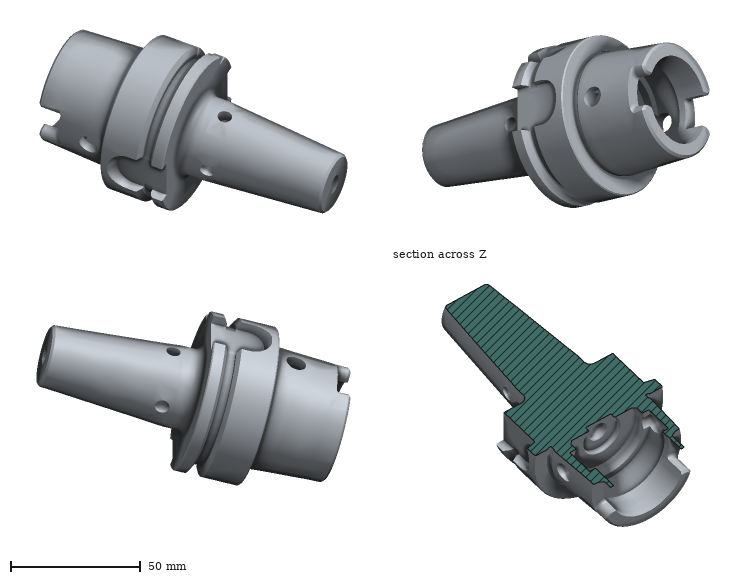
import cadquery as cq
import math

TOTAL_LENGTH = 117.0

TAPER_FRONT_RADIUS = 22.7
TAPER_BACK_RADIUS = 24.2
TAPER_END = 30.0
RELIEF_START = 30.7
RELIEF_RADIUS = 23.8
FACE_UNDERCUT_RADIUS = 25.2
FACE_UNDERCUT_DEPTH = 0.5
RIM_CHAMFER = 0.9
RIM_CHAMFER_ANGLE = 45.0

FLANGE_RADIUS = 31.5
FLANGE_START = 31.8
FLANGE_END = 57.9
FLANGE_CHAMFER = 0.5
GROOVE_RADIUS = 27.3
GROOVE_START = 48.1
GROOVE_END = 51.8
GROOVE_FLANK_WIDTH = 1.4
GROOVE_FLANK_ANGLE = 60.0
GROOVE_FLANK_HEIGHT = GROOVE_FLANK_WIDTH * math.tan(math.radians(GROOVE_FLANK_ANGLE))

NECK_RADIUS = 16.0
NECK_FILLET = 2.9
NOSE_START = 65.9
NOSE_TIP_RADIUS = 12.2
NOSE_CHAMFER = 0.9

SOCKET_RADIUS = 17.3
CLAMP_CHAMBER_START = 12.9
CLAMP_CHAMBER_RADIUS = 20.0
CLAMP_CHAMBER_END = 25.3
INNER_SOCKET_RADIUS = 17.1
INNER_SOCKET_DEPTH = 30.0
INNER_SOCKET_CHAMFER = 1.3
COUNTERBORE_RADIUS = 8.7
COUNTERBORE_DEPTH = 2.3
COUNTERBORE_CHAMFER = 0.4
BORE_RADIUS = 3.7
BORE_MOUTH_CHAMFER = 0.5

KEYWAY_HALF_WIDTH = 6.2
KEYWAY_FLAT_Y = 20.8
KEYWAY_LIP_RADIUS = 3.2
KEYWAY_FLOOR_FILLET = 1.4
KEYWAY_DEPTH_NEAR = 10.0
KEYWAY_DEPTH_FAR = 6.1

CROSS_HOLE_X = 22.9
CROSS_HOLE_RADIUS = 4.0

SLOT_HALF_WIDTH = 9.0
SLOT_FLOOR_Y = 26.3
SLOT_END_X = 34.9
SLOT_END_FLAT = 1.9
SLOT_END_SLOPE = 1.9

NOTCH_WALL_Y = 19.8
NOTCH_FLOOR_Z = 20.0
NOTCH_START = 44.7
NOTCH_CORNER_RADIUS = 7.5

SCREW_HOLE_X = 69.8
SCREW_HOLE_RADIUS = 2.8
SCREW_HOLE_FLOOR = 10.5
SCREW_HOLE_COUNT = 4
DRILL_TIP_HALF_ANGLE = 59.0
DRILL_TIP_HEIGHT = SCREW_HOLE_RADIUS / math.tan(math.radians(DRILL_TIP_HALF_ANGLE))


def revolve_about_x(profile):
    return profile.close().revolve(360, (0, 0, 0), (1, 0, 0))


def turned_body():
    """Outer shape: taper, grooved flange and tapered nose."""
    flank_radius = FLANGE_RADIUS - GROOVE_FLANK_HEIGHT
    undercut_x = FLANGE_START + FACE_UNDERCUT_DEPTH
    fillet_drop = NECK_FILLET * (1 - math.sqrt(0.5))
    profile = (
        cq.Workplane("XY")
        .moveTo(0, 0)
        .lineTo(0, TAPER_FRONT_RADIUS - RIM_CHAMFER)
        .lineTo(RIM_CHAMFER, TAPER_FRONT_RADIUS)
        .lineTo(TAPER_END, TAPER_BACK_RADIUS)
        .lineTo(RELIEF_START, RELIEF_RADIUS)
        .lineTo(undercut_x, RELIEF_RADIUS)
        .lineTo(undercut_x, FACE_UNDERCUT_RADIUS)
        .lineTo(FLANGE_START, FACE_UNDERCUT_RADIUS)
        .lineTo(FLANGE_START, FLANGE_RADIUS - FLANGE_CHAMFER)
        .lineTo(FLANGE_START + FLANGE_CHAMFER, FLANGE_RADIUS)
        .lineTo(GROOVE_START - GROOVE_FLANK_WIDTH, FLANGE_RADIUS)
        .lineTo(GROOVE_START, flank_radius)
        .lineTo(GROOVE_START, GROOVE_RADIUS)
        .lineTo(GROOVE_END, GROOVE_RADIUS)
        .lineTo(GROOVE_END, flank_radius)
        .lineTo(GROOVE_END + GROOVE_FLANK_WIDTH, FLANGE_RADIUS)
        .lineTo(FLANGE_END - FLANGE_CHAMFER, FLANGE_RADIUS)
        .lineTo(FLANGE_END, FLANGE_RADIUS - FLANGE_CHAMFER)
        .lineTo(FLANGE_END, NECK_RADIUS + NECK_FILLET)
        .threePointArc(
            (FLANGE_END + fillet_drop, NECK_RADIUS + fillet_drop),
            (FLANGE_END + NECK_FILLET, NECK_RADIUS),
        )
        .lineTo(NOSE_START, NECK_RADIUS)
        .lineTo(TOTAL_LENGTH - NOSE_CHAMFER, NOSE_TIP_RADIUS)
        .lineTo(TOTAL_LENGTH, NOSE_TIP_RADIUS - NOSE_CHAMFER)
        .lineTo(TOTAL_LENGTH, 0)
    )
    return revolve_about_x(profile)


def axial_bore():
    """Socket with an undercut clamping chamber, then a counterbore and a through bore."""
    counterbore_floor = INNER_SOCKET_DEPTH + COUNTERBORE_DEPTH
    profile = (
        cq.Workplane("XY")
        .moveTo(0, 0)
        .lineTo(0, SOCKET_RADIUS)
        .lineTo(CLAMP_CHAMBER_START, SOCKET_RADIUS)
        .lineTo(CLAMP_CHAMBER_START, CLAMP_CHAMBER_RADIUS)
        .lineTo(CLAMP_CHAMBER_END, CLAMP_CHAMBER_RADIUS)
        .lineTo(CLAMP_CHAMBER_END, INNER_SOCKET_RADIUS)
        .lineTo(INNER_SOCKET_DEPTH - INNER_SOCKET_CHAMFER, INNER_SOCKET_RADIUS)
        .lineTo(INNER_SOCKET_DEPTH, INNER_SOCKET_RADIUS - INNER_SOCKET_CHAMFER)
        .lineTo(INNER_SOCKET_DEPTH, COUNTERBORE_RADIUS + COUNTERBORE_CHAMFER)
        .lineTo(INNER_SOCKET_DEPTH + COUNTERBORE_CHAMFER, COUNTERBORE_RADIUS)
        .lineTo(counterbore_floor, COUNTERBORE_RADIUS)
        .lineTo(counterbore_floor, BORE_RADIUS + BORE_MOUTH_CHAMFER)
        .lineTo(counterbore_floor + BORE_MOUTH_CHAMFER, BORE_RADIUS)
        .lineTo(TOTAL_LENGTH, BORE_RADIUS)
        .lineTo(TOTAL_LENGTH, 0)
    )
    return revolve_about_x(profile)


def keyway_section(x):
    """T-shaped section: a slot through the wall that opens through rounded lips into an outer flat."""
    reach = FLANGE_RADIUS
    lip_start = KEYWAY_FLAT_Y - KEYWAY_LIP_RADIUS
    lip_end = KEYWAY_HALF_WIDTH + KEYWAY_LIP_RADIUS
    return (
        cq.Workplane("YZ", origin=(x, 0, 0))
        .moveTo(0, -KEYWAY_HALF_WIDTH)
        .lineTo(lip_start, -KEYWAY_HALF_WIDTH)
        .radiusArc((KEYWAY_FLAT_Y, -lip_end), KEYWAY_LIP_RADIUS)
        .lineTo(KEYWAY_FLAT_Y, -reach)
        .lineTo(reach, -reach)
        .lineTo(reach, reach)
        .lineTo(KEYWAY_FLAT_Y, reach)
        .lineTo(KEYWAY_FLAT_Y, lip_end)
        .radiusArc((lip_start, KEYWAY_HALF_WIDTH), KEYWAY_LIP_RADIUS)
        .lineTo(0, KEYWAY_HALF_WIDTH)
        .close()
    )


def keyway(depth, side):
    """Cutter with a filleted floor, flared at the rim to chamfer the lips."""
    cutter = keyway_section(0).extrude(depth)
    cutter = cutter.faces(">X").edges().fillet(KEYWAY_FLOOR_FILLET)
    flare = keyway_section(RIM_CHAMFER).extrude(-RIM_CHAMFER, taper=-RIM_CHAMFER_ANGLE)
    cutter = cutter.union(flare)
    return cutter if side > 0 else cutter.mirror("XZ")


def slot_outline(height, end_x):
    """Outline with two rounded end corners and a short flat between them."""
    flat = SLOT_END_FLAT / 2
    corner_height = SLOT_HALF_WIDTH - flat
    corner_x = SLOT_END_X + corner_height
    middle_x = corner_x - (corner_x - end_x) * math.sqrt(0.5)
    middle_z = flat + corner_height * math.sqrt(0.5)
    outline = (
        cq.Workplane("XZ", origin=(0, height, 0))
        .moveTo(FLANGE_END, SLOT_HALF_WIDTH)
        .lineTo(corner_x, SLOT_HALF_WIDTH)
        .threePointArc((middle_x, middle_z), (end_x, flat))
        .lineTo(end_x, -flat)
        .threePointArc((middle_x, -middle_z), (corner_x, -SLOT_HALF_WIDTH))
        .lineTo(FLANGE_END, -SLOT_HALF_WIDTH)
        .close()
    )
    return outline.wires().val()


def driving_slot():
    """Open-ended slot whose rounded end slopes inward towards its flat floor."""
    floor = slot_outline(SLOT_FLOOR_Y, SLOT_END_X + SLOT_END_SLOPE)
    mouth = slot_outline(FLANGE_RADIUS, SLOT_END_X)
    return cq.Workplane(cq.Solid.makeLoft([floor, mouth], True))


def orientation_notch():
    """Square-shouldered corner cut, open at the flange end, with one rounded inner corner."""
    width = FLANGE_RADIUS - NOTCH_WALL_Y
    start = NOTCH_START - NOTCH_CORNER_RADIUS
    return (
        cq.Workplane("XY")
        .box(FLANGE_END - start, width, width, centered=False)
        .translate((start, NOTCH_WALL_Y, NOTCH_FLOOR_Z))
        .edges("|Y and <X and <Z")
        .fillet(NOTCH_CORNER_RADIUS)
    )


def screw_hole(angle):
    """Blind drilled hole pointing at the axis, turned by an angle about it."""
    profile = (
        cq.Workplane("XZ")
        .moveTo(0, SCREW_HOLE_FLOOR - DRILL_TIP_HEIGHT)
        .lineTo(SCREW_HOLE_RADIUS, SCREW_HOLE_FLOOR)
        .lineTo(SCREW_HOLE_RADIUS, NECK_RADIUS)
        .lineTo(0, NECK_RADIUS)
        .close()
    )
    hole = profile.revolve(360, (0, 0, 0), (0, 1, 0)).translate((SCREW_HOLE_X, 0, 0))
    return hole.rotate((0, 0, 0), (1, 0, 0), angle)


def cross_hole():
    """Radial hole through both sides of the taper wall."""
    hole = cq.Workplane("XZ").center(CROSS_HOLE_X, 0).circle(CROSS_HOLE_RADIUS)
    return hole.extrude(TAPER_BACK_RADIUS, both=True)


result = turned_body().cut(axial_bore()).cut(cross_hole())
result = result.cut(keyway(KEYWAY_DEPTH_NEAR, -1)).cut(keyway(KEYWAY_DEPTH_FAR, 1))
result = result.cut(driving_slot()).cut(driving_slot().mirror("XZ"))
result = result.cut(orientation_notch())
for index in range(SCREW_HOLE_COUNT):
    result = result.cut(screw_hole(index * 360 / SCREW_HOLE_COUNT))